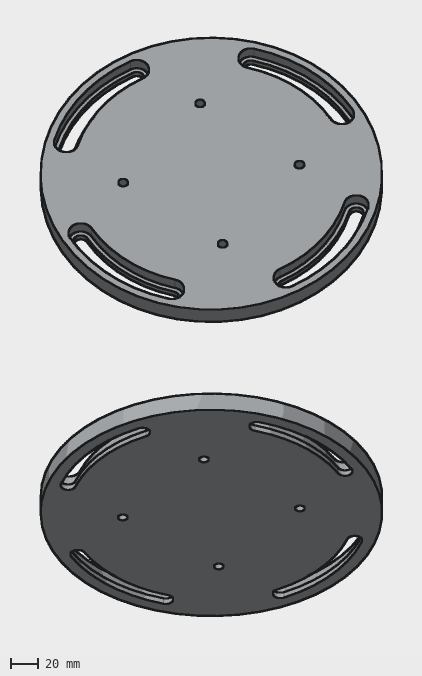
import cadquery as cq
import math

disc_diameter = 250.0
disc_thickness = 15.0

hole_diameter = 7.0
hole_spacing = 92.0

slot_count = 4
slot_radius = 110.0
slot_half_angle = 22.5
slot_width = 11.0
recess_width = 18.0
recess_depth = 10.0


def polar_point(radius, angle):
    """Point at a radius and an angle in degrees."""
    return (radius * math.cos(math.radians(angle)), radius * math.sin(math.radians(angle)))


def arc_slot(width, depth, middle_angle):
    """Round-ended slot along the slot circle, reaching down from the top face."""
    inner = slot_radius - width / 2
    outer = slot_radius + width / 2
    start = middle_angle - slot_half_angle
    end = middle_angle + slot_half_angle
    outline = (
        cq.Workplane("XY", origin=(0, 0, disc_thickness - depth))
        .moveTo(*polar_point(outer, start))
        .threePointArc(polar_point(outer, middle_angle), polar_point(outer, end))
    )
    end_x, end_y = polar_point(slot_radius, end)
    cap_x, cap_y = polar_point(width / 2, end + 90)
    outline = outline.threePointArc((end_x + cap_x, end_y + cap_y), polar_point(inner, end))
    outline = outline.threePointArc(polar_point(inner, middle_angle), polar_point(inner, start))
    start_x, start_y = polar_point(slot_radius, start)
    cap_x, cap_y = polar_point(width / 2, start - 90)
    outline = outline.threePointArc((start_x + cap_x, start_y + cap_y), polar_point(outer, start))
    return outline.close().extrude(depth)


disc = cq.Workplane("XY").circle(disc_diameter / 2).extrude(disc_thickness)

mounting_holes = (
    cq.Workplane("XY")
    .rect(hole_spacing, hole_spacing, forConstruction=True)
    .vertices()
    .circle(hole_diameter / 2)
    .extrude(disc_thickness)
)
result = disc.cut(mounting_holes)

for index in range(slot_count):
    slot_angle = index * 360 / slot_count
    result = result.cut(arc_slot(slot_width, disc_thickness, slot_angle))
    result = result.cut(arc_slot(recess_width, recess_depth, slot_angle))